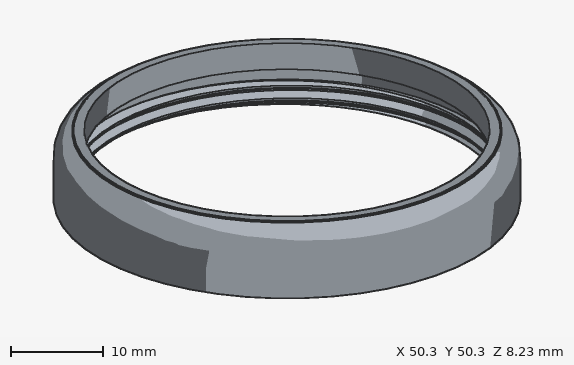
import cadquery as cq
outer_radius = 50.33 / 2
height = 8.23
bore_radius = 43.7 / 2

shoulder_height = 5.0
rim_radius = 46.0 / 2
rim_height = 0.15
rim_ledge = 0.17

thread_minor_radius = 46.33 / 2
thread_major_radius = 48.05 / 2
counterbore_depth = 5.12
thread_length = 2.9
pitch = 1.5
crest_width = pitch / 6
root_width = pitch / 8
thread_turns = 4
thread_start_height = -1.53
left_handed = True
wall_overlap = 0.1


def ring_body():
    """Revolve the ring with its smooth counterbore."""
    shoulder_top = height - rim_height
    profile = (
        cq.Workplane("XZ")
        .moveTo(thread_major_radius, 0)
        .lineTo(outer_radius, 0)
        .lineTo(outer_radius, shoulder_height)
        .tangentArcPoint((rim_radius + rim_ledge, shoulder_top), relative=False)
        .lineTo(rim_radius, shoulder_top)
        .lineTo(rim_radius, height)
        .lineTo(bore_radius, height)
        .lineTo(bore_radius, counterbore_depth)
        .lineTo(thread_major_radius, counterbore_depth)
        .close()
    )
    return profile.revolve(360, (0, 0, 0), (0, 1, 0))


def helix(radius, start_height):
    """One edge line of the thread ridge."""
    wire = cq.Wire.makeHelix(pitch, pitch * thread_turns, radius, lefthand=left_handed)
    return wire.translate(cq.Vector(0, 0, start_height))


def thread_ridge():
    """Trapezoidal helical ridge, rooted slightly in the wall and cut flat at both ends."""
    half_crest = crest_width / 2
    half_wall_width = (pitch - root_width) / 2
    flank_slope = (half_wall_width - half_crest) / (thread_major_radius - thread_minor_radius)
    half_base = half_wall_width + flank_slope * wall_overlap
    root_radius = thread_major_radius + wall_overlap
    edges = [
        helix(thread_minor_radius, thread_start_height - half_crest),
        helix(root_radius, thread_start_height - half_base),
        helix(root_radius, thread_start_height + half_base),
        helix(thread_minor_radius, thread_start_height + half_crest),
    ]
    following_edges = edges[1:] + edges[:1]
    faces = [cq.Face.makeRuledSurface(a, b) for a, b in zip(edges, following_edges)]
    start_corners = [edge.startPoint() for edge in edges]
    end_corners = [edge.endPoint() for edge in edges]
    for corners in (start_corners, end_corners):
        faces.append(cq.Face.makeFromWires(cq.Wire.makePolygon(corners, close=True)))
    ridge = cq.Workplane(obj=cq.Solid.makeSolid(cq.Shell.makeShell(faces)))
    threaded_zone = cq.Workplane("XY").circle(outer_radius).extrude(thread_length)
    return ridge.intersect(threaded_zone)


result = ring_body().union(thread_ridge())